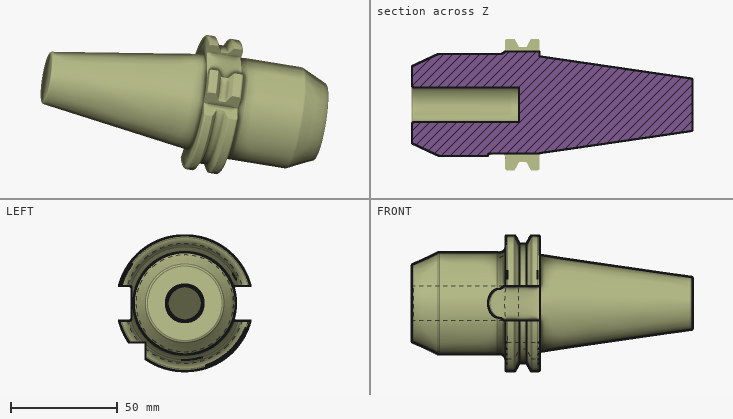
import cadquery as cq
import math

TOTAL_LENGTH = 131.4
FLANGE_FRONT = 43.8
FLANGE_BACK = 59.9
GROOVE_CENTER = 52.0

BODY_RADIUS = 48.0 / 2
NOSE_LENGTH = 12.6
NOSE_ANGLE = 25.0
NOSE_EDGE_ROUND = 1.0
BODY_EDGE_ROUND = 1.3

RELIEF_START = 39.8
RELIEF_DEPTH = 0.1
RELIEF_RAMP = 0.5
NECK_FILLET = 2.6
FACE_RELIEF_RADIUS = 27.5

FLANGE_RADIUS = 63.6 / 2
FLANGE_EDGE_ROUND = 1.0
GROOVE_RADIUS = 56.2 / 2
GROOVE_BOTTOM_WIDTH = 3.4
GROOVE_FLANK_ANGLE = 30.0
GROOVE_EDGE_ROUND = 0.5

SHANK_RADIUS = 22.7
SHANK_SLOPE = 7 / 48
SHANK_END_ROUND = 1.0

BORE_RADIUS = 16.0 / 2
BORE_DEPTH = 49.9
BORE_CHAMFER = 0.8

SLOT_WIDTH = 16.2
SLOT_FLOOR_FILLET = 0.8
SLOT_FLOOR_BACK = 25.0
SLOT_FLOOR_FRONT = 22.9
NOTCH_OFFSET = 18.4


def make_blank():
    """Turned body, flange and taper shank."""
    nose_radius = BODY_RADIUS - NOSE_LENGTH * math.tan(math.radians(NOSE_ANGLE))
    neck_radius = BODY_RADIUS - RELIEF_DEPTH
    relief_face = FLANGE_FRONT + RELIEF_DEPTH
    fillet_shift = NECK_FILLET * (1 - math.sqrt(0.5))
    groove_bottom = GROOVE_BOTTOM_WIDTH / 2
    flank_run = (FLANGE_RADIUS - GROOVE_RADIUS) * math.tan(math.radians(GROOVE_FLANK_ANGLE))
    groove_top = groove_bottom + flank_run
    shank_end_radius = SHANK_RADIUS - (TOTAL_LENGTH - FLANGE_BACK) * SHANK_SLOPE

    profile = (
        cq.Workplane("XY")
        .moveTo(0, 0)
        .lineTo(0, nose_radius)
        .lineTo(NOSE_LENGTH, BODY_RADIUS)
        .lineTo(RELIEF_START, BODY_RADIUS)
        .lineTo(RELIEF_START + RELIEF_RAMP, neck_radius)
        .lineTo(relief_face - NECK_FILLET, neck_radius)
        .threePointArc(
            (relief_face - fillet_shift, neck_radius + fillet_shift),
            (relief_face, neck_radius + NECK_FILLET),
        )
        .lineTo(FLANGE_FRONT, FACE_RELIEF_RADIUS)
        .lineTo(FLANGE_FRONT, FLANGE_RADIUS)
        .lineTo(GROOVE_CENTER - groove_top, FLANGE_RADIUS)
        .lineTo(GROOVE_CENTER - groove_bottom, GROOVE_RADIUS)
        .lineTo(GROOVE_CENTER + groove_bottom, GROOVE_RADIUS)
        .lineTo(GROOVE_CENTER + groove_top, FLANGE_RADIUS)
        .lineTo(FLANGE_BACK, FLANGE_RADIUS)
        .lineTo(FLANGE_BACK, SHANK_RADIUS)
        .lineTo(TOTAL_LENGTH, shank_end_radius)
        .lineTo(TOTAL_LENGTH, 0)
        .close()
    )
    blank = profile.revolve(360, (0, 0, 0), (1, 0, 0))

    edge_rounds = [
        (0, nose_radius, NOSE_EDGE_ROUND),
        (NOSE_LENGTH, BODY_RADIUS, BODY_EDGE_ROUND),
        (FLANGE_FRONT, FLANGE_RADIUS, FLANGE_EDGE_ROUND),
        (GROOVE_CENTER - groove_top, FLANGE_RADIUS, GROOVE_EDGE_ROUND),
        (GROOVE_CENTER + groove_top, FLANGE_RADIUS, GROOVE_EDGE_ROUND),
        (FLANGE_BACK, FLANGE_RADIUS, FLANGE_EDGE_ROUND),
        (TOTAL_LENGTH, shank_end_radius, SHANK_END_ROUND),
    ]
    for x, radius, rounding in edge_rounds:
        blank = round_rim(blank, x, radius, rounding)
    return blank


def round_rim(solid, x, radius, rounding):
    """Fillet the circular edge of the given radius at position x."""
    margin = 0.07
    reach = radius + margin
    slab = cq.selectors.BoxSelector(
        (x - margin, -reach, -reach), (x + margin, reach, reach), boundingbox=True
    )
    rim = solid.edges("%CIRCLE").edges(slab)
    rim = rim.filter(lambda edge: abs(edge.radius() - radius) < margin)
    return rim.fillet(rounding)


def make_bore():
    """Blind tool bore with a chamfered mouth."""
    hole = cq.Workplane("YZ").circle(BORE_RADIUS).extrude(BORE_DEPTH)
    mouth = cq.Solid.makeCone(
        BORE_RADIUS + BORE_CHAMFER, BORE_RADIUS, BORE_CHAMFER, cq.Vector(0, 0, 0), cq.Vector(1, 0, 0)
    )
    return hole.union(cq.Workplane(mouth))


def make_drive_slot(side, floor):
    """Round-ended slot cutter through the flange; side is +1 or -1 along Y."""
    half_width = SLOT_WIDTH / 2
    open_end = FLANGE_BACK + half_width
    depth = FLANGE_RADIUS - floor + half_width
    return (
        cq.Workplane("XZ", origin=(0, side * floor, 0))
        .moveTo(open_end, half_width)
        .lineTo(FLANGE_FRONT, half_width)
        .threePointArc((FLANGE_FRONT - half_width, 0), (FLANGE_FRONT, -half_width))
        .lineTo(open_end, -half_width)
        .close()
        .extrude(-side * depth)
        .faces("<Y" if side > 0 else ">Y")
        .edges()
        .fillet(SLOT_FLOOR_FILLET)
    )


def make_notch():
    """Square corner notch through the flange rim on the +Y, -Z side."""
    length = FLANGE_BACK - FLANGE_FRONT
    return cq.Workplane("XY").box(length, FLANGE_RADIUS, FLANGE_RADIUS, centered=False).translate(
        (FLANGE_FRONT, NOTCH_OFFSET, -NOTCH_OFFSET - FLANGE_RADIUS)
    )


result = (
    make_blank()
    .cut(make_bore())
    .cut(make_drive_slot(1, SLOT_FLOOR_BACK))
    .cut(make_drive_slot(-1, SLOT_FLOOR_FRONT))
    .cut(make_notch())
)